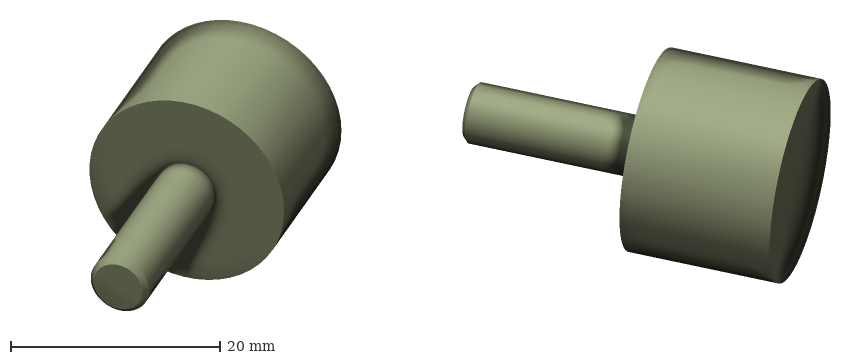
import cadquery as cq

rubber_diameter = 20.0
rubber_length = 15.0
plate_diameter = 16.0
plate_thickness = 2.0
stud_diameter = 6.0
stud_length = 18.0
stud_chamfer = 0.5

FACE_PLANE = cq.Plane(origin=(0, 0, 0), xDir=(1, 0, 0), normal=(0, 1, 0))


def make_cylinder(diameter, length):
    """Cylinder on the Y axis, from Y = 0 to Y = length (toward -Y when negative)."""
    return cq.Workplane(FACE_PLANE).circle(diameter / 2).extrude(length)


def make_rubber():
    """Rubber block with a recess in its front face that holds the plate."""
    recess = make_cylinder(plate_diameter, plate_thickness)
    return make_cylinder(rubber_diameter, rubber_length).cut(recess)


def make_plate():
    """Round metal plate set flush into the rubber."""
    return make_cylinder(plate_diameter, plate_thickness)


def make_stud():
    """Plain stud standing on the plate, with a chamfered free end."""
    return make_cylinder(stud_diameter, -stud_length).faces("<Y").chamfer(stud_chamfer)


rubber = make_rubber()
plate = make_plate()
stud = make_stud()

result = cq.Compound.makeCompound([rubber.val(), plate.val(), stud.val()])